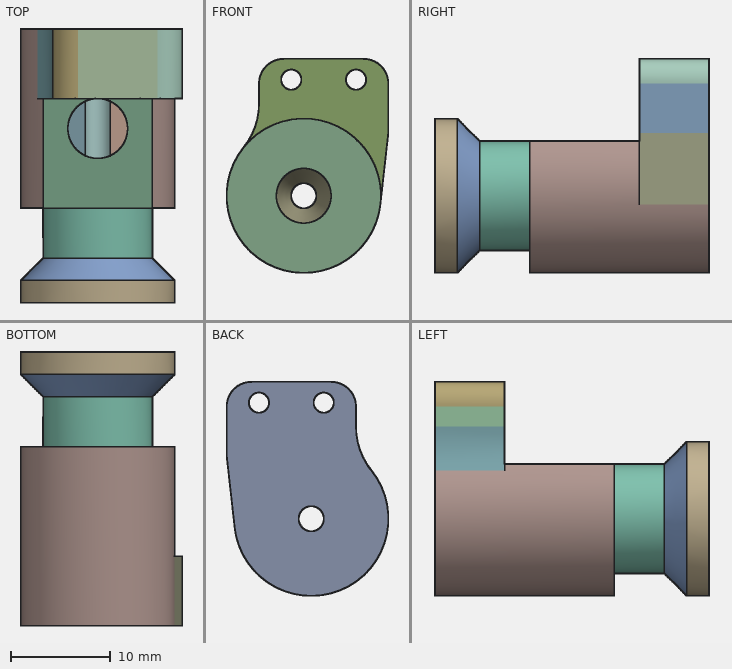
import cadquery as cq
import math


barrel_radius = 7.75
barrel_length = 18.0
flat_height = 5.5
neck_radius = 5.5
neck_length = 5.0
rim_thickness = 2.25
taper_length = barrel_radius - neck_radius
total_length = barrel_length + neck_length + taper_length + rim_thickness

plate_thickness = 7.0
plate_left = -4.5
plate_right = 8.5
plate_top = 13.75
corner_radius = 2.5
blend_radius = 7.0
right_edge_bottom = 6.3

mount_hole_diameter = 2.0
mount_hole_spacing = 6.5
mount_hole_center = (plate_left + plate_right) / 2
mount_hole_height = 11.65

through_diameter = 2.5
bore_diameter = 5.5
bore_depth = 3.5
bore_cone_half_angle = 10.0
bore_step = (bore_diameter - through_diameter) / 2
bore_cone_length = bore_step / math.tan(math.radians(bore_cone_half_angle))

cross_hole_diameter = 6.0
cross_hole_floor = 0.0
cross_hole_y = -(plate_thickness + cross_hole_diameter / 2)


def make_barrel():
    """Revolved barrel, neck, flare and rim, with a flat milled along the barrel."""
    neck_end = -(barrel_length + neck_length)
    profile = (
        cq.Workplane("XY")
        .moveTo(0, 0)
        .lineTo(barrel_radius, 0)
        .lineTo(barrel_radius, -barrel_length)
        .lineTo(neck_radius, -barrel_length)
        .lineTo(neck_radius, neck_end)
        .lineTo(barrel_radius, neck_end - taper_length)
        .lineTo(barrel_radius, -total_length)
        .lineTo(0, -total_length)
        .close()
    )
    body = profile.revolve(360, (0, 0, 0), (0, 1, 0))
    above_flat = cq.Workplane("XY", origin=(0, -barrel_length, flat_height)).box(
        2 * barrel_radius,
        barrel_length,
        barrel_radius - flat_height,
        centered=(True, False, False),
    )
    return body.cut(above_flat)


def make_plate():
    """Plate whose sides run tangentially into the barrel and whose foot lies inside it."""
    blend_x = plate_left - blend_radius
    blend_reach = barrel_radius + blend_radius
    blend_z = math.sqrt(blend_reach**2 - blend_x**2)
    blend_end = (
        blend_x * barrel_radius / blend_reach,
        blend_z * barrel_radius / blend_reach,
    )
    half_sweep = math.atan2(-blend_z, -blend_x) / 2
    blend_middle = (
        blend_x + blend_radius * math.cos(half_sweep),
        blend_z + blend_radius * math.sin(half_sweep),
    )

    slope_start_distance = math.hypot(plate_right, right_edge_bottom)
    slope_angle = math.atan2(right_edge_bottom, plate_right) - math.acos(
        barrel_radius / slope_start_distance
    )
    slope_end = (
        barrel_radius * math.cos(slope_angle),
        barrel_radius * math.sin(slope_angle),
    )

    outline = (
        cq.Workplane("XZ")
        .moveTo(plate_left, blend_z)
        .lineTo(plate_left, plate_top)
        .lineTo(plate_right, plate_top)
        .lineTo(plate_right, right_edge_bottom)
        .lineTo(*slope_end)
        .lineTo(0, 0)
        .lineTo(*blend_end)
        .threePointArc(blend_middle, (plate_left, blend_z))
        .close()
    )
    return outline.extrude(plate_thickness).edges("|Y and >Z").fillet(corner_radius)


def make_axial_bore():
    """Bore from the rim that tapers down and continues as a small through hole."""
    bore_end = -(total_length - bore_depth)
    profile = (
        cq.Workplane("YZ")
        .moveTo(0, 0)
        .lineTo(0, -through_diameter / 2)
        .lineTo(bore_end + bore_cone_length, -through_diameter / 2)
        .lineTo(bore_end, -bore_diameter / 2)
        .lineTo(-total_length, -bore_diameter / 2)
        .lineTo(-total_length, 0)
        .close()
    )
    return profile.revolve(360, (0, 0, 0), (1, 0, 0))


def make_cross_hole():
    """Vertical blind hole from the flat down to the barrel axis."""
    return (
        cq.Workplane("XY", origin=(0, cross_hole_y, cross_hole_floor))
        .circle(cross_hole_diameter / 2)
        .extrude(flat_height - cross_hole_floor)
    )


def make_mount_holes():
    """Pair of holes through the plate."""
    centers = [
        (mount_hole_center + side * mount_hole_spacing / 2, mount_hole_height)
        for side in (-1, 1)
    ]
    return (
        cq.Workplane("XZ")
        .pushPoints(centers)
        .circle(mount_hole_diameter / 2)
        .extrude(plate_thickness)
    )


result = (
    make_barrel()
    .union(make_plate())
    .cut(make_axial_bore())
    .cut(make_cross_hole())
    .cut(make_mount_holes())
)